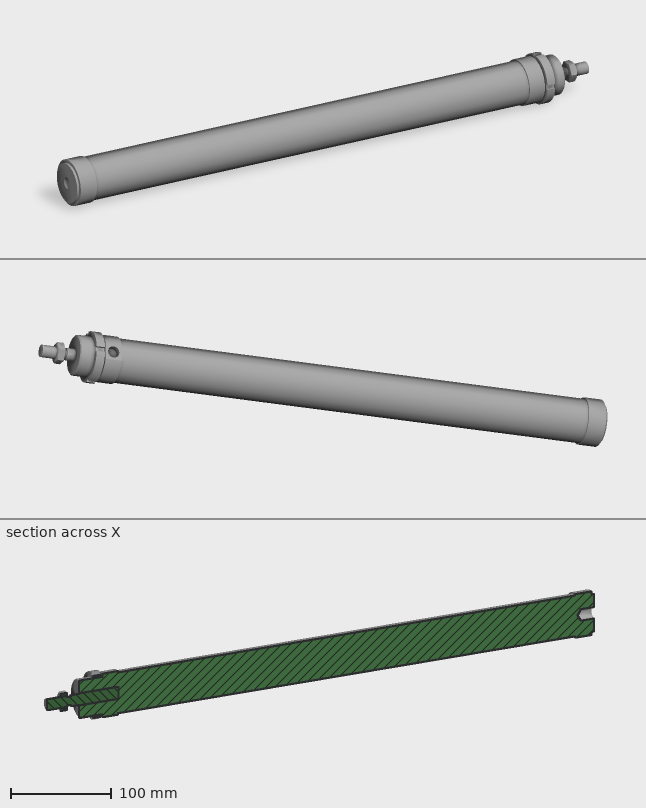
import cadquery as cq
import math

TOTAL_LENGTH = 592.0

TUBE_DIAMETER = 44.5
CAP_DIAMETER = 47.5
REAR_BOSS_DIAMETER = 41.0
REAR_BOSS_LENGTH = 2.5
REAR_CAP_LENGTH = 18.5
REAR_CAP_FRONT_Y = REAR_BOSS_LENGTH + REAR_CAP_LENGTH
HEAD_LENGTH = 17.0
HEAD_REAR_Y = 514.5
HEAD_FRONT_Y = HEAD_REAR_Y + HEAD_LENGTH
NOSE_DIAMETER = 41.0
NOSE_LENGTH = 25.5
NOSE_CHAMFER = 1.0
NOSE_FRONT_Y = HEAD_FRONT_Y + NOSE_LENGTH

PORT_DIAMETER = 12.0
REAR_PORT_DEPTH = 14.0
DRILL_POINT_ANGLE = 118.0
HEAD_PORT_DEPTH = 7.0
PORT_FLAT_X = -TUBE_DIAMETER / 2

ROD_DIAMETER = 12.5
THREAD_LENGTH = 22.5
UNDERCUT_DIAMETER = 9.5
UNDERCUT_LENGTH = 3.5
WRENCH_FLAT_WIDTH = 11.0
WRENCH_FLAT_LENGTH = 5.5
SHOULDER_Y = TOTAL_LENGTH - THREAD_LENGTH - UNDERCUT_LENGTH

HEX_SIDES = 6
HEX_ACROSS_FLATS = 19.0
HEX_THICKNESS = 7.5
HEX_FACE_DIAMETER = 16.5
HEX_BEVEL_ANGLE = 30.0
HEX_REAR_Y = TOTAL_LENGTH - THREAD_LENGTH

RING_DIAMETER = 51.5
RING_THICKNESS = 9.0
RING_GAP = 2.0
RING_REAR_Y = HEAD_FRONT_Y + RING_GAP
SLOT_COUNT = 4
SLOT_WIDTH = 5.0
SLOT_DEPTH = 3.0


def cylinder(diameter, start_y, length):
    """Solid round bar along +Y, centred on the axis."""
    plane = cq.Workplane("XZ", origin=(0, start_y, 0))
    return plane.circle(diameter / 2).extrude(-length)


def make_rear_port():
    """Blind drilled hole with a conical end, open at the rear face."""
    radius = PORT_DIAMETER / 2
    point_length = radius / math.tan(math.radians(DRILL_POINT_ANGLE / 2))
    profile = [
        (0, 0),
        (radius, 0),
        (radius, REAR_PORT_DEPTH),
        (0, REAR_PORT_DEPTH + point_length),
    ]
    return cq.Workplane("XY").polyline(profile).close().revolve(360, (0, 0, 0), (0, 1, 0))


def make_head_port():
    """Flat on the -X side of the head, with a blind port in its middle."""
    flat_depth = CAP_DIAMETER / 2 + PORT_FLAT_X
    middle_y = HEAD_REAR_Y + HEAD_LENGTH / 2
    flat = cq.Workplane("XY").box(flat_depth, HEAD_LENGTH, CAP_DIAMETER)
    flat = flat.translate((PORT_FLAT_X - flat_depth / 2, middle_y, 0))
    face = cq.Workplane("YZ", origin=(PORT_FLAT_X, middle_y, 0))
    hole = face.circle(PORT_DIAMETER / 2).extrude(HEAD_PORT_DEPTH)
    return flat.union(hole)


def make_housing():
    rear_boss = cylinder(REAR_BOSS_DIAMETER, 0, REAR_BOSS_LENGTH)
    rear_cap = cylinder(CAP_DIAMETER, REAR_BOSS_LENGTH, REAR_CAP_LENGTH)
    tube = cylinder(TUBE_DIAMETER, REAR_CAP_FRONT_Y, HEAD_REAR_Y - REAR_CAP_FRONT_Y)
    head = cylinder(CAP_DIAMETER, HEAD_REAR_Y, HEAD_LENGTH)
    nose = cylinder(NOSE_DIAMETER, HEAD_FRONT_Y, NOSE_LENGTH).faces(">Y").chamfer(NOSE_CHAMFER)
    rod_bore = cylinder(ROD_DIAMETER, HEAD_REAR_Y, NOSE_FRONT_Y - HEAD_REAR_Y)
    housing = rear_boss.union(rear_cap).union(tube).union(head).union(nose)
    return housing.cut(make_rear_port()).cut(make_head_port()).cut(rod_bore)


def make_rod():
    """Rod with wrench flats on +X and -X, an undercut neck and a threaded end."""
    shaft = cylinder(ROD_DIAMETER, HEAD_REAR_Y, SHOULDER_Y - HEAD_REAR_Y)
    flat_cutter = cq.Workplane("XY").box(ROD_DIAMETER, WRENCH_FLAT_LENGTH, ROD_DIAMETER)
    flat_offset = (WRENCH_FLAT_WIDTH + ROD_DIAMETER) / 2
    for side in (-1, 1):
        place = (side * flat_offset, SHOULDER_Y - WRENCH_FLAT_LENGTH / 2, 0)
        shaft = shaft.cut(flat_cutter.translate(place))
    neck = cylinder(UNDERCUT_DIAMETER, SHOULDER_Y, UNDERCUT_LENGTH)
    thread = cylinder(ROD_DIAMETER, HEX_REAR_Y, THREAD_LENGTH)
    return shaft.union(neck).union(thread)


def make_rod_nut():
    """Hexagon nut with corners up and down the X axis, bevelled on its front face."""
    across_corners = HEX_ACROSS_FLATS / math.cos(math.radians(180 / HEX_SIDES))
    plane = cq.Workplane("XZ", origin=(0, HEX_REAR_Y, 0))
    hexagon = plane.polygon(HEX_SIDES, across_corners).extrude(-HEX_THICKNESS)
    bevel_radius = HEX_FACE_DIAMETER / 2
    corner_radius = across_corners / 2
    bevel_drop = (corner_radius - bevel_radius) * math.tan(math.radians(HEX_BEVEL_ANGLE))
    front_y = HEX_REAR_Y + HEX_THICKNESS
    profile = [
        (0, HEX_REAR_Y),
        (corner_radius, HEX_REAR_Y),
        (corner_radius, front_y - bevel_drop),
        (bevel_radius, front_y),
        (0, front_y),
    ]
    envelope = cq.Workplane("XY").polyline(profile).close().revolve(360, (0, 0, 0), (0, 1, 0))
    return hexagon.intersect(envelope).cut(cylinder(ROD_DIAMETER, HEX_REAR_Y, HEX_THICKNESS))


def make_ring_nut():
    """Round nut on the nose with evenly spaced spanner slots in its rim."""
    ring = cylinder(RING_DIAMETER, RING_REAR_Y, RING_THICKNESS)
    ring = ring.cut(cylinder(NOSE_DIAMETER, RING_REAR_Y, RING_THICKNESS))
    slot = cq.Workplane("XY").box(2 * SLOT_DEPTH, RING_THICKNESS, SLOT_WIDTH)
    slot = slot.translate((RING_DIAMETER / 2, RING_REAR_Y + RING_THICKNESS / 2, 0))
    for index in range(SLOT_COUNT):
        ring = ring.cut(slot.rotate((0, 0, 0), (0, 1, 0), index * 360 / SLOT_COUNT))
    return ring


housing = make_housing()
rod = make_rod()
rod_nut = make_rod_nut()
ring_nut = make_ring_nut()

result = cq.Compound.makeCompound([housing.val(), rod.val(), rod_nut.val(), ring_nut.val()])